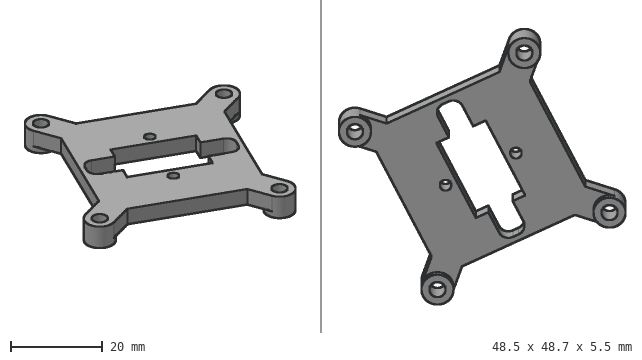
import cadquery as cq
import math

plate_side = 37.25
plate_thickness = 4.0

arm_width = 7.0
foot_height = 1.5
arm_hole_diameter = 3.5
arm_ends = [
    (-20.75, 20.75),
    (20.45, 20.45),
    (-20.95, -20.95),
    (20.6, -20.6),
]

window_width = 11.95
window_length = 19.45
slot_width = 5.9
slot_length = 34.55
slot_corner_radius = 2.25

side_hole_diameter = 2.5
side_hole_spacing = 17.05


def make_arm(end_x, end_y):
    """Round-ended arm from the plate centre, with a round foot below its end."""
    length = math.hypot(end_x, end_y)
    angle = math.degrees(math.atan2(end_y, end_x))
    bar = (
        cq.Workplane("XY")
        .rect(length, arm_width)
        .extrude(plate_thickness)
        .translate((length / 2, 0, 0))
        .rotate((0, 0, 0), (0, 0, 1), angle)
    )
    round_end = (
        cq.Workplane("XY", origin=(end_x, end_y, -foot_height))
        .circle(arm_width / 2)
        .extrude(plate_thickness + foot_height)
    )
    return bar.union(round_end)


def make_opening():
    """Rectangular window crossed by a longer, narrower slot with rounded corners."""
    window = cq.Workplane("XY").rect(window_width, window_length).extrude(plate_thickness)
    slot = (
        cq.Workplane("XY")
        .rect(slot_width, slot_length)
        .extrude(plate_thickness)
        .edges("|Z")
        .fillet(slot_corner_radius)
    )
    return window.union(slot)


def make_holes(centres, diameter):
    """Vertical cylinders that pass through the plate and the feet."""
    return (
        cq.Workplane("XY", origin=(0, 0, -foot_height))
        .pushPoints(centres)
        .circle(diameter / 2)
        .extrude(plate_thickness + foot_height)
    )


result = cq.Workplane("XY").rect(plate_side, plate_side).extrude(plate_thickness)
for end_x, end_y in arm_ends:
    result = result.union(make_arm(end_x, end_y))

side_holes = [(-side_hole_spacing / 2, 0), (side_hole_spacing / 2, 0)]
result = result.cut(make_opening())
result = result.cut(make_holes(arm_ends, arm_hole_diameter))
result = result.cut(make_holes(side_holes, side_hole_diameter))